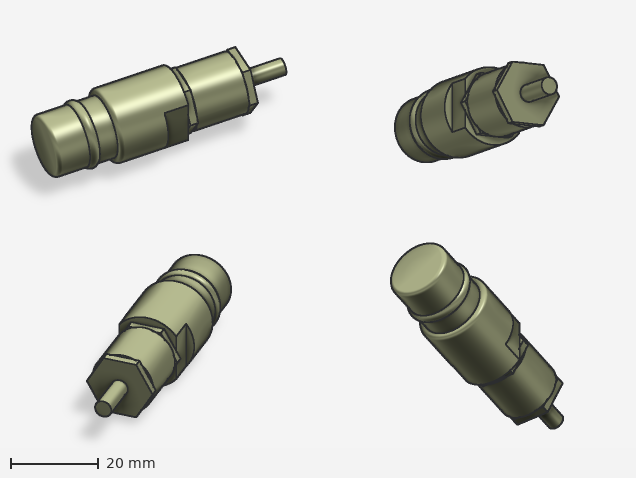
import cadquery as cq
import math

total_length = 60.0

plug_length = 15.0
body_length = 18.0
hex_thickness = 2.0
sleeve_length = 13.0

plug_diameter = 15.0
body_diameter = 18.0
sleeve_diameter = plug_diameter
cable_diameter = 4.0
across_flats = 14.0
across_corners = across_flats / math.cos(math.pi / 6)

edge_radius = 1.0
flat_length = 6.0

ring_position = 9.3
ring_outer_diameter = 16.3
ring_section_radius = 1.5

body_start = plug_length
body_end = body_start + body_length
sleeve_start = body_end + hex_thickness
sleeve_end = sleeve_start + sleeve_length
cable_start = sleeve_end + hex_thickness


def section_plane(y):
    """Plane across the part axis at y, with its normal along +Y."""
    return cq.Workplane(cq.Plane(origin=(0, y, 0), xDir=(1, 0, 0), normal=(0, 1, 0)))


def cylinder(start, end, diameter):
    return section_plane(start).circle(diameter / 2).extrude(end - start)


def hex_collar(start):
    """Hexagonal collar with two opposite corners on the X axis."""
    hexagon = section_plane(start).polygon(6, across_corners)
    return hexagon.extrude(hex_thickness)


def sealing_ring():
    """Torus whose inner part is buried in the plug."""
    centre_radius = ring_outer_diameter / 2 - ring_section_radius
    profile = cq.Workplane("XY").center(-centre_radius, ring_position).circle(ring_section_radius)
    return profile.revolve(360, (centre_radius, 0, 0), (centre_radius, 1, 0))


def main_body():
    """Round body with a rounded front edge and two wrench flats facing +X and -X."""
    body = cylinder(body_start, body_end, body_diameter).faces("<Y").edges().fillet(edge_radius)
    flat_zone = cylinder(body_end - flat_length, body_end, body_diameter)
    between_flats = cq.Workplane("XY").box(across_flats, total_length, body_diameter)
    between_flats = between_flats.translate((0, body_end, 0))
    return body.cut(flat_zone.cut(between_flats))


plug = cylinder(0, body_start, plug_diameter).faces("<Y").edges().fillet(edge_radius)
sleeve = cylinder(sleeve_start, sleeve_end, sleeve_diameter)
cable = cylinder(cable_start, total_length, cable_diameter)

result = (
    plug.union(sealing_ring())
    .union(main_body())
    .union(hex_collar(body_end))
    .union(sleeve)
    .union(hex_collar(sleeve_end))
    .union(cable)
)